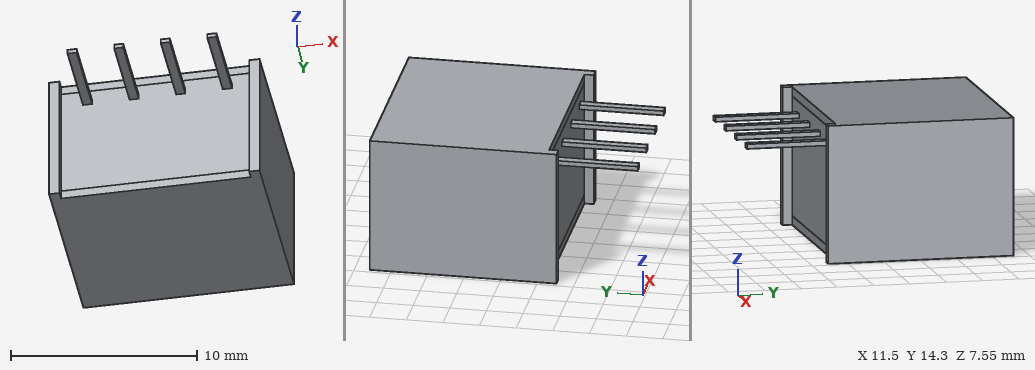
import cadquery as cq

width = 11.5
height = 7.55
overall_length = 14.3

standoff_length = 0.5
housing_depth = 10.2
side_wall = 0.57
thin_wall = 0.5

pin_count = 4
pin_pitch = 2.55
pin_width = 0.5
pin_thickness = 0.26
pin_row_offset = 0.09
pin_drop = 1.26

body_depth = housing_depth - standoff_length
pin_length = overall_length - body_depth
pin_z = height / 2 - pin_drop
cavity_width = width - 2 * side_wall
cavity_height = height - 2 * thin_wall
cavity_depth = body_depth - thin_wall


def block(size_x, size_y, size_z, front_y):
    """Box centred on X and Z that extends from front_y towards +Y."""
    box = cq.Workplane("XY").box(size_x, size_y, size_z, centered=(True, False, True))
    return box.translate((0, front_y, 0))


def make_housing():
    """Open-fronted case with a full-height standoff along each side."""
    case = block(width, housing_depth, height, -standoff_length)
    front_recess = block(cavity_width, standoff_length, height, -standoff_length)
    cavity = block(cavity_width, cavity_depth, cavity_height, 0)
    return case.cut(front_recess).cut(cavity)


def make_filler():
    """Potting block that fills the cavity flush with the recessed front face."""
    return block(cavity_width, cavity_depth, cavity_height, 0)


def make_pin(x):
    """Flat lead standing out from the filler face, centred at x."""
    return block(pin_width, pin_length, pin_thickness, -pin_length).translate((x, 0, pin_z))


housing = make_housing()
filler = make_filler()

first_pin_x = pin_row_offset - (pin_count - 1) * pin_pitch / 2
pins = [make_pin(first_pin_x + i * pin_pitch) for i in range(pin_count)]

result = cq.Compound.makeCompound([housing.val(), filler.val(), *[pin.val() for pin in pins]])